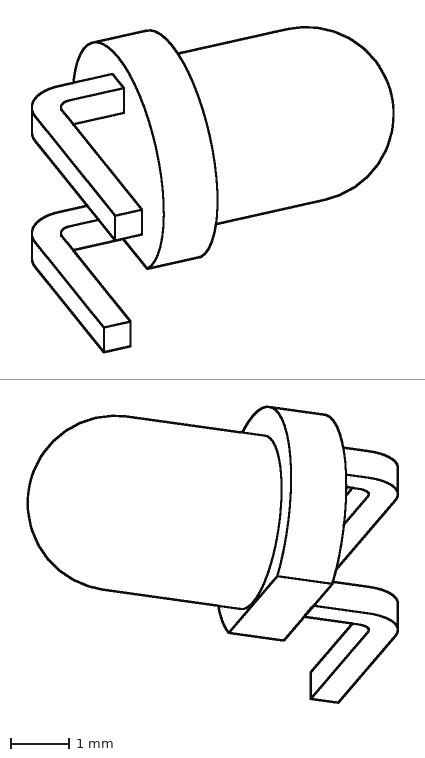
import cadquery as cq

flange_radius = 2.0
flange_thickness = 1.0
flat_depth = 1.54
lens_radius = 1.5
barrel_length = 2.5

lead_width = 0.5
lead_spacing = 2.54
lead_reach = 1.755
inner_bend_radius = 0.25
outer_bend_radius = inner_bend_radius + lead_width
upper_lead_end = 4.0
lower_lead_end = upper_lead_end - 0.5


def make_flange():
    """Disc with a flat along its lower side."""
    disc = cq.Workplane("XZ").circle(flange_radius).extrude(-flange_thickness)
    keep_height = flat_depth + flange_radius
    keep = cq.Workplane("XY").box(
        2 * flange_radius, flange_thickness, keep_height, centered=(True, False, False)
    )
    return disc.intersect(keep.translate((0, 0, -flat_depth)))


def make_lens():
    """Barrel with a hemispherical tip, revolved about the Y axis."""
    barrel_end = flange_thickness + barrel_length
    tip = barrel_end + lens_radius
    arc_offset = lens_radius / 2**0.5
    return (
        cq.Workplane("XY")
        .moveTo(0, flange_thickness)
        .lineTo(lens_radius, flange_thickness)
        .lineTo(lens_radius, barrel_end)
        .threePointArc((arc_offset, barrel_end + arc_offset), (0, tip))
        .close()
        .revolve(360, (0, 0, 0), (0, 1, 0))
    )


def make_lead(end_x, center_z):
    """Lead leaving the flange along -Y and bending toward +X."""
    left = -lead_width / 2
    right = lead_width / 2
    rear = -lead_reach
    front = rear + lead_width
    bend_start = rear + outer_bend_radius
    bend_end = left + outer_bend_radius
    return (
        cq.Workplane("XY", origin=(0, 0, center_z - lead_width / 2))
        .moveTo(left, 0)
        .lineTo(left, bend_start)
        .radiusArc((bend_end, rear), -outer_bend_radius)
        .lineTo(end_x, rear)
        .lineTo(end_x, front)
        .lineTo(bend_end, front)
        .radiusArc((right, bend_start), inner_bend_radius)
        .lineTo(right, 0)
        .close()
        .extrude(lead_width)
    )


upper_lead = make_lead(upper_lead_end, lead_spacing / 2)
lower_lead = make_lead(lower_lead_end, -lead_spacing / 2)
result = make_flange().union(make_lens()).union(upper_lead).union(lower_lead)